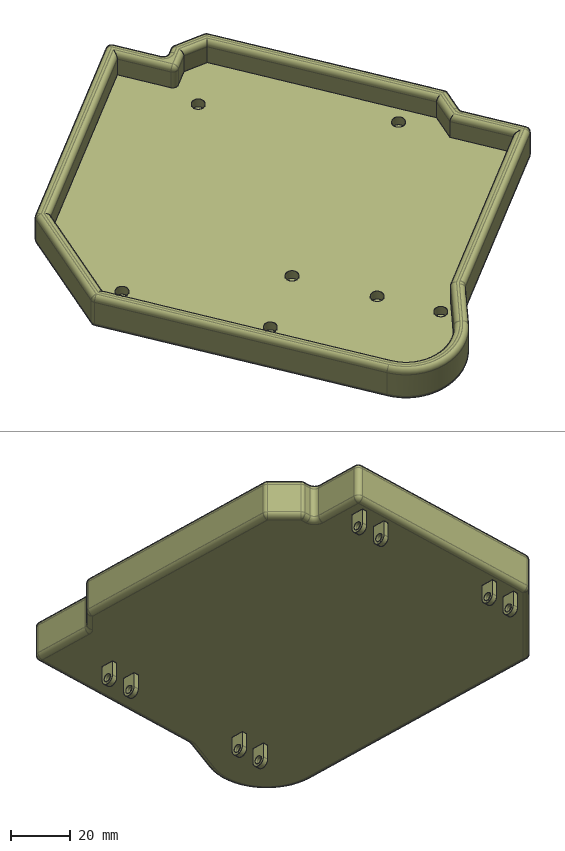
import cadquery as cq
import math

length = 154.3
depth = 124.5
tray_height = 15.0

wall = 5.0
floor = 5.0
edge_radius = 2.0

corner_cut = 29.6
left_top_y = 110.1
step_x = 20.8
back_left_x = 30.0
back_right_x = 114.6
right_top_y = 117.5
right_x = 146.7
neck_y = 44.3
lobe_radius = 21.0

hole_diameter = 4.6
hole_depth = 4.0
hole_points = [
    (34.7, 101.0),
    (101.0, 113.8),
    (87.8, 38.0),
    (117.7, 38.0),
    (140.0, 38.0),
    (35.6, 14.0),
    (87.8, 14.0),
]

lug_drop = 8.0
lug_root = floor / 2
lug_width = 5.0
lug_thickness = 2.0
lug_hole_diameter = 3.0
left_lug_x = 6.0
right_lug_x = 131.0
left_lug_ys = [103.7, 93.5, 42.3, 32.4]
right_lug_offset_y = -6.2


def lobe_point(angle):
    """Point on the lobe arc at an angle (radians) from +X."""
    center_x = length - lobe_radius
    x = center_x + lobe_radius * math.cos(angle)
    y = lobe_radius + lobe_radius * math.sin(angle)
    return x, y


def make_outline():
    """Closed outline of the tray with sharp corners and a tangent lobe."""
    neck_dx = right_x - (length - lobe_radius)
    neck_dy = neck_y - lobe_radius
    neck_distance = math.hypot(neck_dx, neck_dy)
    tangent_angle = math.atan2(neck_dy, neck_dx) - math.acos(lobe_radius / neck_distance)
    step_top_y = depth - (back_left_x - step_x)
    right_shoulder_x = back_right_x + (depth - right_top_y)
    return (
        cq.Workplane("XY")
        .moveTo(corner_cut, 0)
        .lineTo(length - lobe_radius, 0)
        .threePointArc(lobe_point(0), lobe_point(tangent_angle))
        .lineTo(right_x, neck_y)
        .lineTo(right_x, right_top_y)
        .lineTo(right_shoulder_x, right_top_y)
        .lineTo(back_right_x, depth)
        .lineTo(back_left_x, depth)
        .lineTo(step_x, step_top_y)
        .lineTo(step_x, left_top_y)
        .lineTo(0, left_top_y)
        .lineTo(0, corner_cut)
        .close()
    )


def make_body():
    """Solid block with every outer corner and both rims rounded."""
    block = make_outline().extrude(tray_height)
    lobe_seams = cq.selectors.BoxSelector(
        (length - lobe_radius - edge_radius, -edge_radius, 0),
        (length, neck_y - edge_radius, tray_height),
    )
    corners = block.edges("|Z").edges(cq.selectors.InverseSelector(lobe_seams))
    return corners.fillet(edge_radius).faces("<Z or >Z").edges().fillet(edge_radius)


def make_cavity():
    """Pocket that leaves an even wall and floor, rounded where it passes the step."""
    cavity = make_outline().offset2D(-wall, "intersection").extrude(tray_height - floor)
    step_corner = (step_x + wall, left_top_y - wall, 0)
    cavity = cavity.edges("|Z").edges(cq.selectors.NearestToPointSelector(step_corner)).fillet(edge_radius)
    return cavity.translate((0, 0, floor))


def make_lug(x, y):
    """Lug hanging below the tray, flat across Y."""
    radius = lug_width / 2
    eye_z = radius - lug_drop
    profile = (
        cq.Workplane("XZ")
        .moveTo(-radius, lug_root)
        .lineTo(-radius, eye_z)
        .threePointArc((0, -lug_drop), (radius, eye_z))
        .lineTo(radius, lug_root)
        .close()
        .extrude(lug_thickness / 2, both=True)
    )
    eye = (
        cq.Workplane("XZ")
        .center(0, eye_z)
        .circle(lug_hole_diameter / 2)
        .extrude(lug_thickness, both=True)
    )
    return profile.cut(eye).translate((x, y, 0))


tray = make_body().cut(make_cavity())
rims = tray.faces(">Z").wires().vals()
inner_rim = min(rims, key=lambda wire: wire.BoundingBox().xlen)
tray = tray.newObject(inner_rim.Edges()).fillet(edge_radius)

holes = (
    cq.Workplane("XY", origin=(0, 0, floor))
    .pushPoints(hole_points)
    .circle(hole_diameter / 2)
    .extrude(-hole_depth)
)
result = tray.cut(holes)

for lug_y in left_lug_ys:
    result = result.union(make_lug(left_lug_x, lug_y))
    result = result.union(make_lug(right_lug_x, lug_y + right_lug_offset_y))